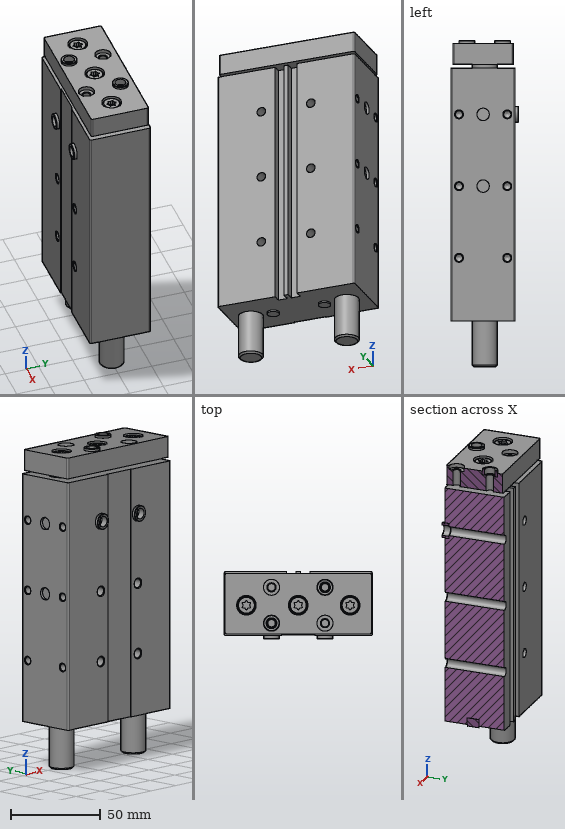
import cadquery as cq
import math


TOTAL_HEIGHT = 182.8

HOUSING_WIDTH = 83.0
HOUSING_DEPTH = 36.0
HOUSING_HEIGHT = 141.9
HOUSING_BOTTOM = 25.6
HOUSING_TOP = HOUSING_BOTTOM + HOUSING_HEIGHT
BODY_CENTER_Y = 1.0
FRONT_Y = BODY_CENTER_Y - HOUSING_DEPTH / 2
BACK_Y = BODY_CENTER_Y + HOUSING_DEPTH / 2
LEFT_X = -HOUSING_WIDTH / 2
HOUSING_CORNER = 1.0
BAND_WIDTH = 18.6
BAND_DEPTH = 0.5
SLOT_WIDTH = 5.3
SLOT_DEPTH = 4.8
SLOT_RIB_WIDTH = 2.5

HOLE_SPACING_X = 30.0
HOLE_ROW_PITCH = 40.2
FIRST_ROW_DROP = 26.0
ROW_HEIGHTS = [HOUSING_TOP - FIRST_ROW_DROP - row * HOLE_ROW_PITCH for row in range(3)]
HOLE_XS = (-HOLE_SPACING_X / 2, HOLE_SPACING_X / 2)
MOUNT_HOLE_DIAMETER = 5.1
MOUNT_HOLE_CHAMFER = 0.45
SIDE_HOLE_DIAMETER = 4.0
SIDE_HOLE_CHAMFER = 0.45
SIDE_HOLE_DEPTH = 8.0
SIDE_HOLE_SPACING = 27.0
DRILL_POINT_ANGLE = 118

PLATE_WIDTH = 81.9
PLATE_DEPTH = 34.0
PLATE_THICKNESS = 11.9
PLATE_GAP = 2.0
PLATE_BOTTOM = HOUSING_TOP + PLATE_GAP
PLATE_TOP = PLATE_BOTTOM + PLATE_THICKNESS
PLATE_CORNER = 1.0
PLATE_HOLE_SPACING_Y = 20.1
PLATE_HOLE_DIAMETER = 4.2
PLATE_HOLE_CHAMFER = 0.45

GUIDE_ROD_DIAMETER = 14.0
GUIDE_ROD_SPACING = 58.1
GUIDE_ROD_CHAMFER = 1.0
PISTON_ROD_DIAMETER = 10.0
PISTON_ROD_INSERT = 109.7
SCREW_HEAD_DIAMETER = 10.0
SCREW_COUNTERBORE_DIAMETER = 11.0
SCREW_HEAD_HEIGHT = 6.0
SCREW_HEAD_RECESS = 0.7
SCREW_HEAD_CHAMFER = 0.5
TORX_POINTS = 6
TORX_TIP_RADIUS = 2.7
TORX_ROOT_RADIUS = 1.8
TORX_DEPTH = 2.5

SLEEVE_DIAMETER = 9.0
SLEEVE_BORE = 6.0
SLEEVE_RIM_CHAMFER = 0.27
SLEEVE_SEAT_DEPTH = 2.2
PLATE_SLEEVE_PROTRUSION = TOTAL_HEIGHT - PLATE_TOP
HOUSING_SLEEVE_PROTRUSION = 1.8

PLUG_DIAMETER = 7.0
END_PLUG_INSERT = 4.0
END_PLUG_SPACING = 31.0
END_PLUG_PROTRUSION = 1.0
SIDE_PLUG_RECESS = 1.6
SIDE_PLUG_LENGTH = 2.7


def cylinder(diameter, length, base, axis):
    """Cylinder starting at the point base and running along axis."""
    return cq.Workplane(cq.Solid.makeCylinder(diameter / 2, length, cq.Vector(*base), cq.Vector(*axis)))


def cone(start_diameter, end_diameter, length, base, axis):
    """Cone or cone frustum starting at the point base and running along axis."""
    return cq.Workplane(
        cq.Solid.makeCone(start_diameter / 2, end_diameter / 2, length, cq.Vector(*base), cq.Vector(*axis))
    )


def countersink(diameter, chamfer, base, axis):
    """Cutter for a 45 degree chamfer at the mouth of a hole."""
    return cone(diameter + 2 * chamfer, diameter, chamfer, base, axis)


def make_housing_block():
    """Block with rounded long edges, a shallow band along the front and two slots along the back."""
    base = cq.Workplane("XY").workplane(offset=HOUSING_BOTTOM)
    block = base.center(0, BODY_CENTER_Y).rect(HOUSING_WIDTH, HOUSING_DEPTH).extrude(HOUSING_HEIGHT)
    block = block.edges("|Z").fillet(HOUSING_CORNER)
    band = base.center(0, FRONT_Y).rect(BAND_WIDTH, 2 * BAND_DEPTH).extrude(HOUSING_HEIGHT)
    block = block.cut(band)
    slot_offset = (SLOT_RIB_WIDTH + SLOT_WIDTH) / 2
    for x in (-slot_offset, slot_offset):
        slot = base.center(x, BACK_Y).rect(SLOT_WIDTH, 2 * SLOT_DEPTH).extrude(HOUSING_HEIGHT)
        block = block.cut(slot)
    return block


def mounting_hole(x, z, seat_depth):
    """Hole through the full depth, chamfered at the front below a sleeve seat of the given depth."""
    mouth = (x, FRONT_Y + seat_depth, z)
    hole = cylinder(MOUNT_HOLE_DIAMETER, HOUSING_DEPTH, mouth, (0, 1, 0))
    return hole.union(countersink(MOUNT_HOLE_DIAMETER, MOUNT_HOLE_CHAMFER, mouth, (0, 1, 0)))


def side_hole(y, z):
    """Blind hole in the left side with a chamfered mouth and a drill point."""
    mouth = (LEFT_X, y, z)
    point_length = SIDE_HOLE_DIAMETER / 2 / math.tan(math.radians(DRILL_POINT_ANGLE / 2))
    hole = cylinder(SIDE_HOLE_DIAMETER, SIDE_HOLE_DEPTH, mouth, (1, 0, 0))
    hole = hole.union(countersink(SIDE_HOLE_DIAMETER, SIDE_HOLE_CHAMFER, mouth, (1, 0, 0)))
    point = cone(SIDE_HOLE_DIAMETER, 0, point_length, (LEFT_X + SIDE_HOLE_DEPTH, y, z), (1, 0, 0))
    return hole.union(point)


def make_housing():
    """Housing with its mounting holes, sleeve seats, rod bores and ports."""
    body = make_housing_block()
    for z in ROW_HEIGHTS:
        seat_depth = SLEEVE_SEAT_DEPTH if z == ROW_HEIGHTS[0] else 0
        for x in HOLE_XS:
            body = body.cut(mounting_hole(x, z, seat_depth))
        for side in (-1, 1):
            body = body.cut(side_hole(BODY_CENTER_Y + side * SIDE_HOLE_SPACING / 2, z))
    for x in HOLE_XS:
        seat = cylinder(SLEEVE_DIAMETER, SLEEVE_SEAT_DEPTH, (x, FRONT_Y, ROW_HEIGHTS[0]), (0, 1, 0))
        body = body.cut(seat)
    for side in (-1, 1):
        guide_bore_base = (side * GUIDE_ROD_SPACING / 2, 0, HOUSING_BOTTOM)
        body = body.cut(cylinder(GUIDE_ROD_DIAMETER, HOUSING_HEIGHT, guide_bore_base, (0, 0, 1)))
        end_port_base = (side * END_PLUG_SPACING / 2, 0, HOUSING_BOTTOM)
        body = body.cut(cylinder(PLUG_DIAMETER, END_PLUG_INSERT, end_port_base, (0, 0, 1)))
    piston_bore_mouth = (0, 0, HOUSING_TOP)
    body = body.cut(cylinder(PISTON_ROD_DIAMETER, PISTON_ROD_INSERT, piston_bore_mouth, (0, 0, -1)))
    for z in ROW_HEIGHTS[:2]:
        side_port_depth = SIDE_PLUG_RECESS + SIDE_PLUG_LENGTH
        body = body.cut(cylinder(PLUG_DIAMETER, side_port_depth, (LEFT_X, BODY_CENTER_Y, z), (1, 0, 0)))
    return body


def plate_hole(x, y):
    """Stepped hole through the plate: sleeve seat, chamfer and core hole."""
    seat_floor = (x, y, PLATE_TOP - SLEEVE_SEAT_DEPTH)
    seat = cylinder(SLEEVE_DIAMETER, SLEEVE_SEAT_DEPTH, seat_floor, (0, 0, 1))
    core = cylinder(PLATE_HOLE_DIAMETER, PLATE_THICKNESS, (x, y, PLATE_BOTTOM), (0, 0, 1))
    chamfer = countersink(PLATE_HOLE_DIAMETER, PLATE_HOLE_CHAMFER, seat_floor, (0, 0, -1))
    return seat.union(core).union(chamfer)


def screw_head_cutter(x):
    """Counterbore with a sunken screw head left standing in it, and the head's six-pointed socket."""
    bore_depth = SCREW_HEAD_RECESS + SCREW_HEAD_HEIGHT
    bore_floor = (x, 0, PLATE_TOP - bore_depth)
    cutter = cylinder(SCREW_COUNTERBORE_DIAMETER, bore_depth, bore_floor, (0, 0, 1))
    head = cylinder(SCREW_HEAD_DIAMETER, SCREW_HEAD_HEIGHT, bore_floor, (0, 0, 1))
    cutter = cutter.cut(head.faces(">Z").chamfer(SCREW_HEAD_CHAMFER))
    star = []
    for corner in range(2 * TORX_POINTS):
        radius = TORX_TIP_RADIUS if corner % 2 == 0 else TORX_ROOT_RADIUS
        angle = math.pi / 2 + corner * math.pi / TORX_POINTS
        star.append((x + radius * math.cos(angle), radius * math.sin(angle)))
    head_top = cq.Workplane("XY").workplane(offset=PLATE_TOP - SCREW_HEAD_RECESS)
    return cutter.union(head_top.polyline(star).close().extrude(-TORX_DEPTH))


def make_carriage():
    """Yoke plate in one piece with its two guide rods, piston rod and screw heads."""
    plate = cq.Workplane("XY").box(PLATE_WIDTH, PLATE_DEPTH, PLATE_THICKNESS, centered=(True, True, False))
    plate = plate.edges("|Z").fillet(PLATE_CORNER)
    body = plate.translate((0, BODY_CENTER_Y, PLATE_BOTTOM))
    for side in (-1, 1):
        rod = cylinder(GUIDE_ROD_DIAMETER, PLATE_BOTTOM, (side * GUIDE_ROD_SPACING / 2, 0, 0), (0, 0, 1))
        body = body.union(rod.faces("<Z").chamfer(GUIDE_ROD_CHAMFER))
    piston_rod_length = PISTON_ROD_INSERT + PLATE_GAP
    body = body.union(cylinder(PISTON_ROD_DIAMETER, piston_rod_length, (0, 0, PLATE_BOTTOM), (0, 0, -1)))
    for x in HOLE_XS:
        for side in (-1, 1):
            body = body.cut(plate_hole(x, side * PLATE_HOLE_SPACING_Y / 2))
    for position in (-1, 0, 1):
        body = body.cut(screw_head_cutter(position * GUIDE_ROD_SPACING / 2))
    return body


def make_sleeve(face_point, outward, protrusion):
    """Centring sleeve seated in a face and standing out of it by protrusion."""
    length = SLEEVE_SEAT_DEPTH + protrusion
    inward = tuple(-value for value in outward)
    rim = tuple(point + protrusion * value for point, value in zip(face_point, outward))
    sleeve = cylinder(SLEEVE_DIAMETER, length, rim, inward)
    outer_rim = sleeve.faces(cq.selectors.DirectionMinMaxSelector(cq.Vector(*outward), True)).edges()
    sleeve = outer_rim.chamfer(SLEEVE_RIM_CHAMFER)
    return sleeve.cut(cylinder(SLEEVE_BORE, length, rim, inward))


def make_sleeves():
    """Two sleeves in the top row of the housing front and two in the plate."""
    sleeves = []
    for x in HOLE_XS:
        housing_seat = (x, FRONT_Y, ROW_HEIGHTS[0])
        sleeves.append(make_sleeve(housing_seat, (0, -1, 0), HOUSING_SLEEVE_PROTRUSION))
        plate_y = math.copysign(PLATE_HOLE_SPACING_Y / 2, x)
        sleeves.append(make_sleeve((x, plate_y, PLATE_TOP), (0, 0, 1), PLATE_SLEEVE_PROTRUSION))
    return sleeves


def make_end_plugs():
    """Plugs standing out of the ports in the housing's lower end."""
    length = END_PLUG_INSERT + END_PLUG_PROTRUSION
    base_z = HOUSING_BOTTOM - END_PLUG_PROTRUSION
    plugs = []
    for side in (-1, 1):
        plugs.append(cylinder(PLUG_DIAMETER, length, (side * END_PLUG_SPACING / 2, 0, base_z), (0, 0, 1)))
    return plugs


def make_side_plugs():
    """Plugs set slightly below the surface in the left side ports."""
    plugs = []
    for z in ROW_HEIGHTS[:2]:
        outer_face = (LEFT_X + SIDE_PLUG_RECESS, BODY_CENTER_Y, z)
        plugs.append(cylinder(PLUG_DIAMETER, SIDE_PLUG_LENGTH, outer_face, (1, 0, 0)))
    return plugs


housing = make_housing()
carriage = make_carriage()
sleeves = make_sleeves()
end_plugs = make_end_plugs()
side_plugs = make_side_plugs()

bodies = [housing, carriage] + sleeves + end_plugs + side_plugs
result = cq.Compound.makeCompound([body.solids().val() for body in bodies])